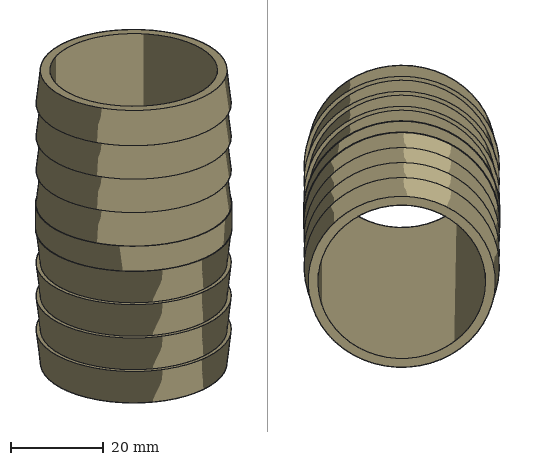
import cadquery as cq

length = 70.0
collar_diameter = 42.4
collar_height = 6.0
bore_diameter = 36.1

barbs_per_end = 4
crest_diameter = 42.15
tip_diameter = 40.3
barb_height = (length - collar_height) / (2 * barbs_per_end)


def barb_outline(side):
    """Radius and height points from the collar to the open end; side is +1 (up) or -1 (down)."""
    points = []
    for index in range(barbs_per_end):
        crest_height = collar_height / 2 + index * barb_height
        tip_height = crest_height + barb_height
        points.append((crest_diameter / 2, side * crest_height))
        points.append((tip_diameter / 2, side * tip_height))
    return points


def make_connector():
    """Revolve the tube wall about Z, centred on the origin."""
    collar_edge = [
        (collar_diameter / 2, -collar_height / 2),
        (collar_diameter / 2, collar_height / 2),
    ]
    bore_edge = [
        (bore_diameter / 2, length / 2),
        (bore_diameter / 2, -length / 2),
    ]
    lower_barbs = list(reversed(barb_outline(-1)))
    outline = lower_barbs + collar_edge + barb_outline(1) + bore_edge
    return cq.Workplane("XZ").polyline(outline).close().revolve(360, (0, 0), (0, 1))


result = make_connector()